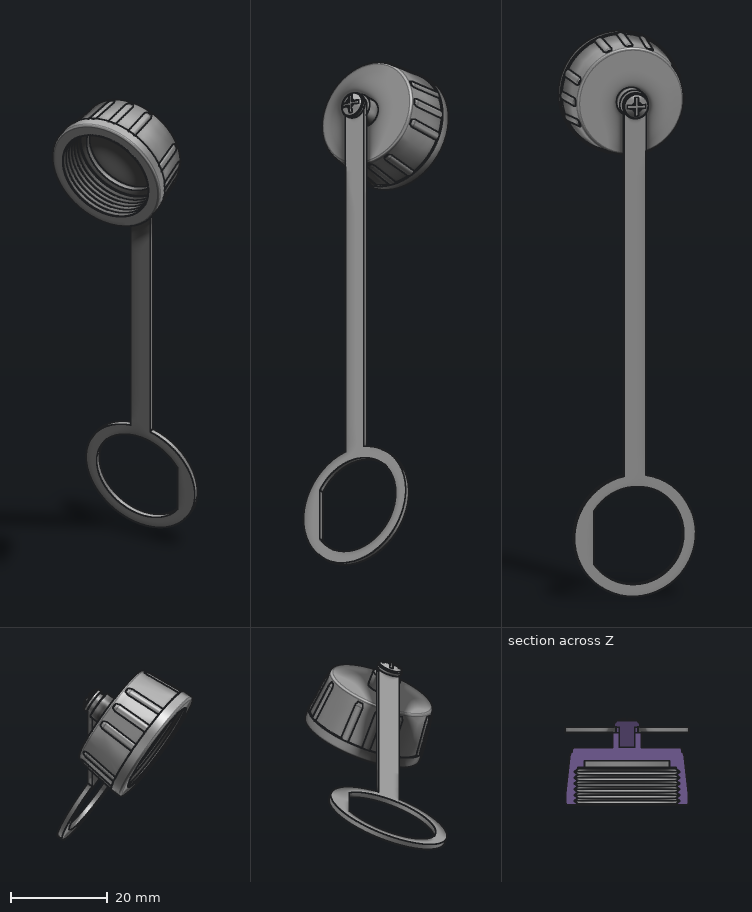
import cadquery as cq
import math


OVERALL_HEIGHT = 116.14
OVERALL_DEPTH = 17.89

CAP_RADIUS = 12.7
CAP_LENGTH = 11.9
BAND_LENGTH = 2.45
MOUTH_FILLET = 0.45
GRIP_FRONT_RADIUS = 12.35
GRIP_BACK_RADIUS = 11.3
BACK_FILLET = 0.5
STUD_RADIUS = 3.0
STUD_LENGTH = 3.05

RIB_RADIUS = 1.2
RIB_BACK_MARGIN = 1.0
RIB_END_SLOPE = 0.8
RIB_END_DROP = 0.2
RIB_STEP = 22.5
SIDE_ANGLES = (0, 90, 180, 270)

BORE_RADIUS = 10.1
BORE_DEPTH = 7.8
FLOOR_RADIUS = 8.75
FLOOR_DEPTH = 9.1
THREAD_PITCH = 1.2
THREAD_DEPTH = 0.8
THREAD_START = 0.25
THREAD_COUNT = 6

STRAP_WIDTH = 4.6
STRAP_THICKNESS = 1.2
RING_RADIUS = 12.84
RING_HOLE_RADIUS = 10.3
RING_FLAT_OFFSET = 8.7
RING_CENTRE_Z = CAP_RADIUS - OVERALL_HEIGHT + RING_RADIUS

HEAD_RADIUS = 2.65
HEAD_RIM_LENGTH = 0.7
HEAD_RIM_CHAMFER_WIDTH = 0.15
HEAD_RIM_CHAMFER_LENGTH = 0.3
HEAD_DOME_RADIUS = 4.5
HEAD_TOP_RADIUS = 1.0
SHANK_RADIUS = 1.5
SHANK_GRIP = 3.0
SLOT_WIDTH = 0.75
SLOT_DEPTH = 0.4

STUD_END = CAP_LENGTH + STUD_LENGTH
STRAP_BACK = STUD_END + STRAP_THICKNESS
SHANK_TIP = STUD_END - SHANK_GRIP
RIM_END = STRAP_BACK + HEAD_RIM_LENGTH
DOME_START = RIM_END + HEAD_RIM_CHAMFER_LENGTH


def cylinder(radius, y_start, y_end, z=0):
    """Solid cylinder along Y."""
    plane = cq.Workplane("XZ", origin=(0, y_start, z))
    return plane.circle(radius).extrude(y_start - y_end)


def revolve_about_y(profile):
    """Close a profile drawn in XY and turn it about the Y axis."""
    return profile.close().revolve(360, (0, 0, 0), (0, 1, 0))



def make_shell():
    """Outside of the cap: plain band at the mouth, then a tapered grip."""
    shell = revolve_about_y(
        cq.Workplane("XY")
        .lineTo(CAP_RADIUS, 0)
        .lineTo(CAP_RADIUS, BAND_LENGTH)
        .lineTo(GRIP_FRONT_RADIUS, BAND_LENGTH)
        .lineTo(GRIP_BACK_RADIUS, CAP_LENGTH)
        .lineTo(0, CAP_LENGTH)
    )
    shell = shell.faces("<Y").edges().fillet(MOUTH_FILLET)
    return shell.faces(">Y").edges().fillet(BACK_FILLET)


def make_rib():
    """Round rib on the +X side that follows the taper and is bevelled at the back."""
    grip_length = CAP_LENGTH - BAND_LENGTH
    taper = math.atan2(GRIP_FRONT_RADIUS - GRIP_BACK_RADIUS, grip_length)
    rib_length = (grip_length - RIB_BACK_MARGIN) / math.cos(taper)
    full_length = rib_length - RIB_END_SLOPE
    rib = revolve_about_y(
        cq.Workplane("XY")
        .moveTo(0, -BAND_LENGTH)
        .lineTo(RIB_RADIUS, -BAND_LENGTH)
        .lineTo(RIB_RADIUS, full_length)
        .lineTo(RIB_RADIUS - RIB_END_DROP, rib_length)
        .lineTo(0, rib_length)
    )
    rib = rib.rotate((0, 0, 0), (0, 0, 1), math.degrees(taper))
    rib = rib.translate((CAP_RADIUS - RIB_RADIUS / math.cos(taper), BAND_LENGTH, 0))
    return rib.cut(cylinder(2 * CAP_RADIUS, -BAND_LENGTH, BAND_LENGTH))


def make_cavity():
    """Threaded bore with ring-shaped V grooves and a smaller recess at its floor."""
    profile = cq.Workplane("XY").lineTo(BORE_RADIUS, 0).lineTo(BORE_RADIUS, THREAD_START)
    for turn in range(THREAD_COUNT):
        groove_start = THREAD_START + turn * THREAD_PITCH
        profile = profile.lineTo(BORE_RADIUS + THREAD_DEPTH, groove_start + THREAD_PITCH / 2)
        profile = profile.lineTo(BORE_RADIUS, groove_start + THREAD_PITCH)
    return revolve_about_y(
        profile
        .lineTo(BORE_RADIUS, BORE_DEPTH)
        .lineTo(FLOOR_RADIUS, BORE_DEPTH)
        .lineTo(FLOOR_RADIUS, FLOOR_DEPTH)
        .lineTo(0, FLOOR_DEPTH)
    )


def make_cap():
    body = make_shell()
    rib = make_rib()
    for side in SIDE_ANGLES:
        for step in (-1, 0, 1):
            angle = side + step * RIB_STEP
            body = body.union(rib.rotate((0, 0, 0), (0, 1, 0), angle))
    body = body.cut(make_cavity())
    body = body.union(cylinder(STUD_RADIUS, CAP_LENGTH, STUD_END))
    return body.cut(cylinder(SHANK_RADIUS, SHANK_TIP, STUD_END))



def make_ring_hole():
    """Round hole with one flat side towards +X."""
    hole = cylinder(RING_HOLE_RADIUS, STUD_END, STRAP_BACK, RING_CENTRE_Z)
    flat_side = (
        cq.Workplane("XZ", origin=(RING_FLAT_OFFSET + RING_RADIUS, STUD_END, RING_CENTRE_Z))
        .rect(2 * RING_RADIUS, 2 * RING_RADIUS)
        .extrude(-STRAP_THICKNESS)
    )
    return hole.cut(flat_side)


def make_strap():
    """Flat strip with a rounded end on the stud and a large ring at the bottom."""
    strip = (
        cq.Workplane("XZ", origin=(0, STUD_END, RING_CENTRE_Z / 2))
        .rect(STRAP_WIDTH, -RING_CENTRE_Z)
        .extrude(-STRAP_THICKNESS)
    )
    round_end = cylinder(STRAP_WIDTH / 2, STUD_END, STRAP_BACK)
    ring = cylinder(RING_RADIUS, STUD_END, STRAP_BACK, RING_CENTRE_Z)
    strap = strip.union(round_end).union(ring)
    strap = strap.cut(make_ring_hole())
    return strap.cut(cylinder(SHANK_RADIUS, STUD_END, STRAP_BACK))



def make_screw():
    """Screw with a domed head and a cross slot, its shank seated in the stud."""
    dome_edge = HEAD_RADIUS - HEAD_RIM_CHAMFER_WIDTH
    screw = revolve_about_y(
        cq.Workplane("XY")
        .moveTo(0, SHANK_TIP)
        .lineTo(SHANK_RADIUS, SHANK_TIP)
        .lineTo(SHANK_RADIUS, STRAP_BACK)
        .lineTo(HEAD_RADIUS, STRAP_BACK)
        .lineTo(HEAD_RADIUS, RIM_END)
        .lineTo(dome_edge, DOME_START)
        .radiusArc((HEAD_TOP_RADIUS, OVERALL_DEPTH), -HEAD_DOME_RADIUS)
        .lineTo(0, OVERALL_DEPTH)
    )
    slot_length = 2 * HEAD_RADIUS
    for width_x, width_z in ((slot_length, SLOT_WIDTH), (SLOT_WIDTH, slot_length)):
        slot = (
            cq.Workplane("XZ", origin=(0, OVERALL_DEPTH, 0))
            .rect(width_x, width_z)
            .extrude(SLOT_DEPTH)
        )
        screw = screw.cut(slot)
    return screw


cap = make_cap()
strap = make_strap()
screw = make_screw()
result = cq.Compound.makeCompound([cap.val(), strap.val(), screw.val()])